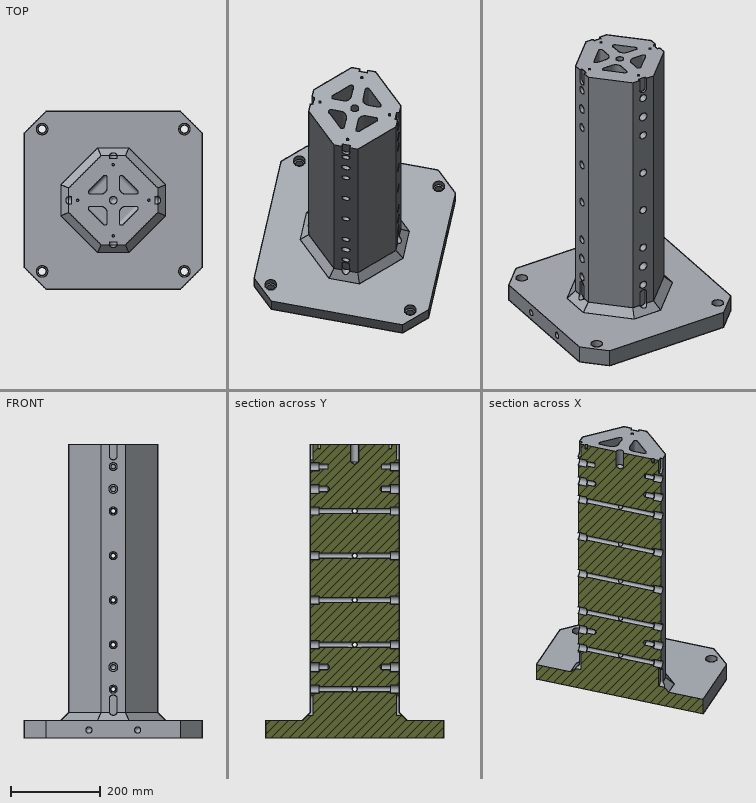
import cadquery as cq
import math

total_height = 660.0
base_width = 400.0
base_thickness = 40.0
base_corner_cut = 49.5

column_width = 200.0
column_diagonal_width = 180.0
flare_size = 18.0
flare_angle = 45
face_distance = column_width / 2

mount_hole_offset = 160.0
mount_hole_diameter = 18.0
mount_counterbore_diameter = 26.0
mount_counterbore_depth = 17.0
edge_hole_offset = 55.0
edge_hole_height = 18.5
edge_hole_diameter = 14.0
edge_hole_depth = 30.0

flat_hole_drops = [50.0]
drilled_hole_drops = [100.0, 500.0]
through_hole_drops = [150.0, 250.0, 350.0, 450.0, 550.0]
plain_hole_diameter = 10.5
plain_counterbore_diameter = 18.0
drilled_hole_diameter = 12.0
drilled_counterbore_diameter = 20.0
face_counterbore_depth = 20.0
blind_hole_depth = 39.5

slot_width = 18.0
slot_depth = 6.0
top_slot_length = 35.0
foot_slot_bottom = 51.5
foot_slot_length = 45.5

center_hole_diameter = 17.0
center_hole_depth = 39.5
pin_hole_offset = 80.0
pin_hole_diameter = 5.0
pin_hole_depth = 10.0
pocket_web = 27.0
pocket_wall_distance = 54.0
pocket_inner_radius = 15.0
pocket_tip_radius = 5.0
pocket_floor_radius = 10.0
pocket_depth = 100.0

drill_point_angle = 118.0
down = (0, 0, -1)
inward = (0, 1, 0)
diagonal_angle = 45
quarter_turns = [0, 90, 180, 270]


def octagon_points(width, diagonal_width):
    """Corners of an octagon given its widths across the axis and diagonal flats."""
    half = width / 2
    half_flat = diagonal_width / 2 * math.sqrt(2) - half
    return [
        (half, -half_flat), (half, half_flat), (half_flat, half), (-half_flat, half),
        (-half, half_flat), (-half, -half_flat), (-half_flat, -half), (half_flat, -half),
    ]


def octagon(grow, z):
    """Column outline at height z, with every flat moved outward by grow."""
    points = octagon_points(column_width + 2 * grow, column_diagonal_width + 2 * grow)
    return cq.Workplane("XY", origin=(0, 0, z)).polyline(points).close()


def spin(tool, angle):
    return tool.rotate((0, 0, 0), (0, 0, 1), angle)


def cylinder(start, direction, diameter, depth):
    return cq.Workplane(
        cq.Solid.makeCylinder(diameter / 2, depth, cq.Vector(*start), cq.Vector(*direction))
    )


def drilled_hole(start, direction, diameter, depth):
    """Cylinder with a conical drill point at its end."""
    radius = diameter / 2
    point_length = radius / math.tan(math.radians(drill_point_angle / 2))
    point_start = cq.Vector(*start) + cq.Vector(*direction) * depth
    point = cq.Solid.makeCone(radius, 0, point_length, point_start, cq.Vector(*direction))
    return cylinder(start, direction, diameter, depth).union(cq.Workplane(point))


def make_body():
    base = (
        cq.Workplane("XY")
        .rect(base_width, base_width)
        .extrude(base_thickness)
        .edges("|Z")
        .chamfer(base_corner_cut)
    )
    column = octagon(0, base_thickness).extrude(total_height - base_thickness)
    flare = octagon(flare_size, base_thickness).extrude(flare_size, taper=flare_angle)
    return base.union(column).union(flare)


def cut_base_holes(body):
    for angle in quarter_turns:
        top = (mount_hole_offset, mount_hole_offset, base_thickness)
        hole = cylinder(top, down, mount_hole_diameter, base_thickness)
        counterbore = cylinder(top, down, mount_counterbore_diameter, mount_counterbore_depth)
        body = body.cut(spin(hole.union(counterbore), angle))
    for x in (-edge_hole_offset, edge_hole_offset):
        start = (x, -base_width / 2, edge_hole_height)
        body = body.cut(drilled_hole(start, inward, edge_hole_diameter, edge_hole_depth))
    return body


def face_hole(drop):
    """Counterbored hole in the face toward -Y, at a distance below the top."""
    start = (0, -face_distance, total_height - drop)
    counterbore_diameter = plain_counterbore_diameter
    if drop in drilled_hole_drops:
        counterbore_diameter = drilled_counterbore_diameter
        hole = drilled_hole(start, inward, drilled_hole_diameter, blind_hole_depth)
    elif drop in through_hole_drops:
        hole = cylinder(start, inward, plain_hole_diameter, column_width)
    else:
        hole = cylinder(start, inward, plain_hole_diameter, blind_hole_depth)
    return hole.union(cylinder(start, inward, counterbore_diameter, face_counterbore_depth))


def cut_face_holes(body, angle):
    for drop in flat_hole_drops + drilled_hole_drops + through_hole_drops:
        body = body.cut(spin(face_hole(drop), angle))
    return body


def face_slot(bottom, top):
    """Round-ended slot reaching from outside the flare to its floor in the face toward -Y."""
    floor_y = slot_depth - face_distance
    return (
        cq.Workplane("XZ", origin=(0, floor_y, (bottom + top) / 2))
        .slot2D(top - bottom, slot_width, 90)
        .extrude(slot_depth + flare_size)
    )


def cut_slots(body, angle):
    top_slot = face_slot(total_height - top_slot_length, total_height + slot_width)
    foot_slot = face_slot(foot_slot_bottom, foot_slot_bottom + foot_slot_length)
    return body.cut(spin(top_slot.union(foot_slot), angle))


def make_pocket():
    """Triangular pocket in the +X +Y quarter, with a fillet between its diagonal wall and floor."""
    near = pocket_web / 2
    far = pocket_wall_distance * math.sqrt(2) - near
    floor_z = total_height - pocket_depth
    prism = (
        cq.Workplane("XY", origin=(0, 0, floor_z))
        .polyline([(near, near), (far, near), (near, far)])
        .close()
        .extrude(pocket_depth)
        .edges("|Z and (>X or >Y)")
        .fillet(pocket_tip_radius)
        .edges(cq.selectors.NearestToPointSelector((near, near, floor_z + pocket_depth / 2)))
        .fillet(pocket_inner_radius)
    )
    rounded_floor = (
        cq.Workplane("XY", origin=(0, 0, floor_z))
        .box(pocket_wall_distance, 2 * far, pocket_depth, centered=(False, True, False))
        .edges(">X and <Z")
        .fillet(pocket_floor_radius)
    )
    return prism.intersect(spin(rounded_floor, diagonal_angle))


def cut_top_features(body):
    center = (0, 0, total_height)
    body = body.cut(drilled_hole(center, down, center_hole_diameter, center_hole_depth))
    pin_hole = cylinder((0, -pin_hole_offset, total_height), down, pin_hole_diameter, pin_hole_depth)
    pocket = make_pocket()
    for angle in quarter_turns:
        body = body.cut(spin(pin_hole, angle)).cut(spin(pocket, angle))
    return body


result = cut_base_holes(make_body())
for face_angle in quarter_turns:
    result = cut_face_holes(result, face_angle)
    result = cut_slots(result, face_angle)
result = cut_top_features(result)